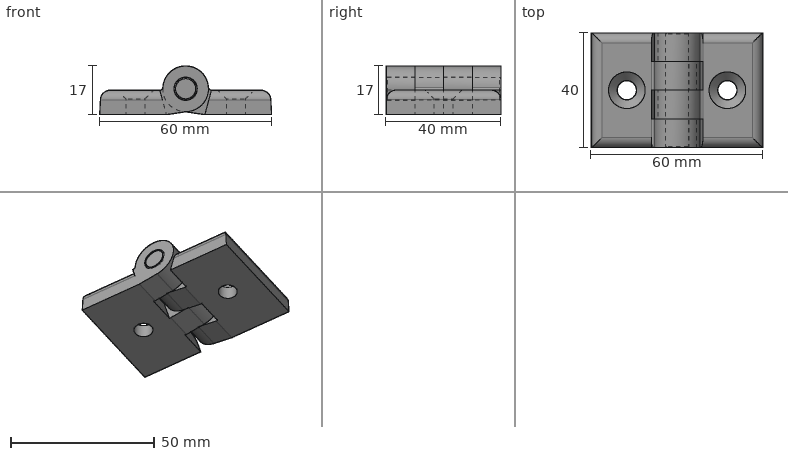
import cadquery as cq
import math

hinge_length = 60.0
hinge_width = 40.0
front_y = -hinge_width / 2
knuckle_count = 4
knuckle_width = hinge_width / knuckle_count

plate_height = 8.5
edge_radius = 3.5
outer_draft = math.radians(3)
inner_slope = math.radians(15)
inner_top_x = -9.0
outer_bottom_x = -hinge_length / 2
outer_top_x = outer_bottom_x + plate_height * math.tan(outer_draft)
inner_bottom_x = inner_top_x + plate_height * math.tan(inner_slope)

knuckle_radius = 8.0
axis_height = 9.0
root_radius = 1.0
relief_start_x = -6.2

pin_diameter = 8.0
fixed_bore_diameter = pin_diameter
turning_bore_diameter = 8.1
pin_chamfer = 0.5

screw_x = -17.5
screw_diameter = 6.6
countersink_diameter = 12.8
countersink_angle = 90


def make_plate():
    """Left plate with slanted ends and three rounded top edges."""
    plate = (
        cq.Workplane("XZ", origin=(0, front_y, 0))
        .moveTo(outer_bottom_x, 0)
        .lineTo(outer_top_x, plate_height)
        .lineTo(inner_top_x, plate_height)
        .lineTo(inner_bottom_x, 0)
        .close()
        .extrude(-hinge_width)
    )
    return plate.faces(">Z").edges("<X or |X").fillet(edge_radius)


def point_on_knuckle(angle):
    """Point (x, z) on the knuckle circle at an angle from +X."""
    return (knuckle_radius * math.cos(angle), axis_height + knuckle_radius * math.sin(angle))


def make_knuckle(start_y):
    """Round knuckle and its web to the left plate, starting at start_y."""
    root_z = plate_height + root_radius
    root_x = -math.sqrt((knuckle_radius + root_radius) ** 2 - (root_z - axis_height) ** 2)
    root_angle = math.atan2(root_z - axis_height, root_x)
    root_mid_angle = (root_angle - 3 * math.pi / 2) / 2
    root_mid = (
        root_x + root_radius * math.cos(root_mid_angle),
        root_z + root_radius * math.sin(root_mid_angle),
    )
    root_end = point_on_knuckle(root_angle)

    axis_distance = math.hypot(relief_start_x, axis_height)
    axis_direction = math.atan2(-axis_height, relief_start_x)
    relief_angle = axis_direction + math.acos(knuckle_radius / axis_distance)

    profile = (
        cq.Workplane("XZ", origin=(0, start_y, 0))
        .moveTo(inner_bottom_x, 0)
        .lineTo(relief_start_x, 0)
        .lineTo(*point_on_knuckle(relief_angle))
        .threePointArc(point_on_knuckle((relief_angle + root_angle) / 2), root_end)
        .threePointArc(root_mid, (root_x, plate_height))
        .lineTo(inner_top_x, plate_height)
        .close()
    )
    return profile.extrude(-knuckle_width)


def make_leaf(bore_diameter):
    """Left-hand leaf: plate with every second knuckle, starting from the front."""
    leaf = make_plate()
    for index in range(0, knuckle_count, 2):
        leaf = leaf.union(make_knuckle(front_y + index * knuckle_width))

    bore = (
        cq.Workplane("XZ", origin=(0, front_y, axis_height))
        .circle(bore_diameter / 2)
        .extrude(-hinge_width)
    )
    return (
        leaf.cut(bore)
        .copyWorkplane(cq.Workplane("XY", origin=(screw_x, 0, plate_height)))
        .cskHole(screw_diameter, countersink_diameter, countersink_angle)
    )


def make_pin():
    """Straight pin, flush with the outer knuckles, chamfered at both ends."""
    return (
        cq.Workplane("XZ", origin=(0, front_y, axis_height))
        .circle(pin_diameter / 2)
        .extrude(-hinge_width)
        .edges("%CIRCLE")
        .chamfer(pin_chamfer)
    )


left_leaf = make_leaf(turning_bore_diameter)
right_leaf = make_leaf(fixed_bore_diameter).rotate((0, 0, 0), (0, 0, 1), 180)
pin = make_pin()

bodies = [body.solids().val() for body in (left_leaf, right_leaf, pin)]
result = cq.Compound.makeCompound(bodies)